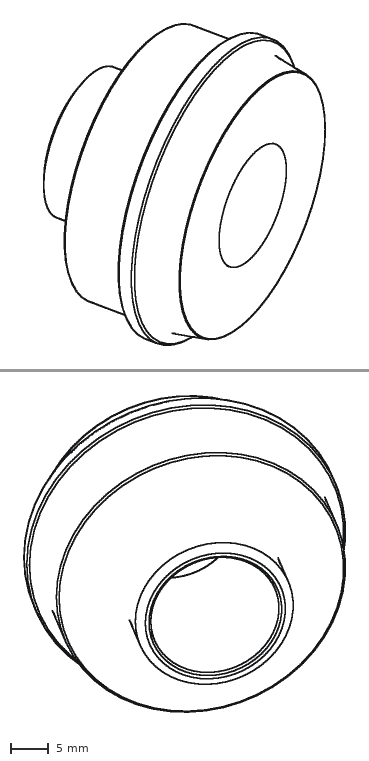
import cadquery as cq
import math

total_length = 26.5
shoulder_x = 9.0
flange_start_x = 18.5
flange_width = 2.5
flange_end_x = flange_start_x + flange_width

bore_radius = 17.3 / 2
spigot_radius = 21.3 / 2
body_radius = 39.0 / 2
flange_radius = 43.0 / 2

cone_base_radius = 19.7
cone_angle = math.radians(10)
cone_end_radius = cone_base_radius - (total_length - flange_end_x) * math.tan(cone_angle)

bevel_height = 1.2
bevel_angle = math.radians(30)
bevel_length = bevel_height * math.tan(bevel_angle)
mouth_chamfer = 0.3

neck_fillet = 1.0
flange_root_fillet = 0.4
edge_chamfer = 0.3
rear_edge_chamfer = 0.1


def ring_edges(part, x, radius):
    """Circular edges of the part with the given X station and radius."""
    tolerance = 0.01
    rings = [
        edge
        for edge in part.edges("%CIRCLE").vals()
        if abs(edge.Center().x - x) < tolerance and abs(edge.radius() - radius) < tolerance
    ]
    return part.newObject(rings)


def revolved_blank():
    """Stepped outline, spun about the X axis, with sharp corners."""
    profile = (
        cq.Workplane("XY")
        .moveTo(0, bore_radius)
        .lineTo(0, spigot_radius - bevel_height)
        .lineTo(bevel_length, spigot_radius)
        .lineTo(shoulder_x, spigot_radius)
        .lineTo(shoulder_x, body_radius)
        .lineTo(flange_start_x, body_radius)
        .lineTo(flange_start_x, flange_radius)
        .lineTo(flange_end_x, flange_radius)
        .lineTo(flange_end_x, cone_base_radius)
        .lineTo(total_length, cone_end_radius)
        .lineTo(total_length, bore_radius)
        .close()
    )
    return profile.revolve(360, (0, 0, 0), (1, 0, 0))


def fillet_roots(part):
    """Round the inside corners at the spigot neck and both sides of the flange."""
    part = ring_edges(part, shoulder_x, spigot_radius).fillet(neck_fillet)
    part = ring_edges(part, flange_start_x, body_radius).fillet(flange_root_fillet)
    return ring_edges(part, flange_end_x, cone_base_radius).fillet(flange_root_fillet)


def chamfer_rims(part):
    """Break the outside corners and the bore mouth."""
    rims = (
        (0, bore_radius, mouth_chamfer),
        (shoulder_x, body_radius, edge_chamfer),
        (flange_start_x, flange_radius, edge_chamfer),
        (flange_end_x, flange_radius, edge_chamfer),
        (total_length, cone_end_radius, rear_edge_chamfer),
    )
    for x, radius, size in rims:
        part = ring_edges(part, x, radius).chamfer(size)
    return part


result = chamfer_rims(fillet_roots(revolved_blank()))